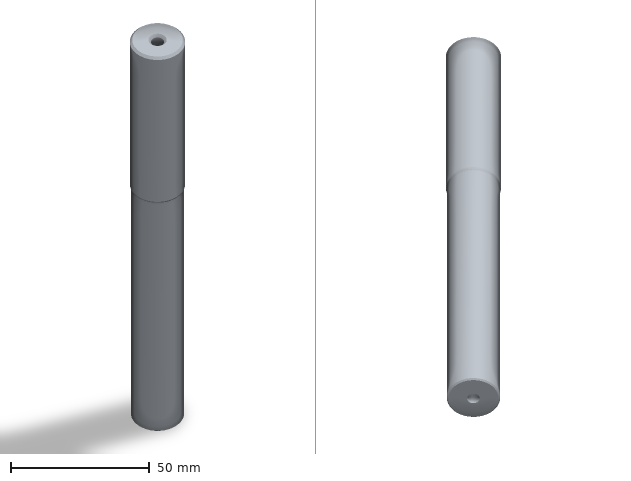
import cadquery as cq

length = 180.0
head_diameter = 20.0
shank_diameter = 19.3
head_length = 69.8
step_bevel = 0.7
top_chamfer = 0.9
bottom_chamfer = 0.5

hole_diameter = 4.7
countersink_diameter = 6.7

head_radius = head_diameter / 2
shank_radius = shank_diameter / 2
head_bottom = length - head_length


def make_shaft():
    """Revolve the stepped outline about the Z axis."""
    outline = [
        (0, 0),
        (shank_radius - bottom_chamfer, 0),
        (shank_radius, bottom_chamfer),
        (shank_radius, head_bottom),
        (head_radius, head_bottom + step_bevel),
        (head_radius, length - top_chamfer),
        (head_radius - top_chamfer, length),
        (0, length),
    ]
    return cq.Workplane("XZ").polyline(outline).close().revolve(360, (0, 0), (0, 1))


def make_hole():
    """Through hole with a 45 degree countersink at the top end."""
    hole_radius = hole_diameter / 2
    countersink_radius = countersink_diameter / 2
    countersink_depth = countersink_radius - hole_radius
    outline = [
        (0, 0),
        (hole_radius, 0),
        (hole_radius, length - countersink_depth),
        (countersink_radius, length),
        (0, length),
    ]
    return cq.Workplane("XZ").polyline(outline).close().revolve(360, (0, 0), (0, 1))


result = make_shaft().cut(make_hole())